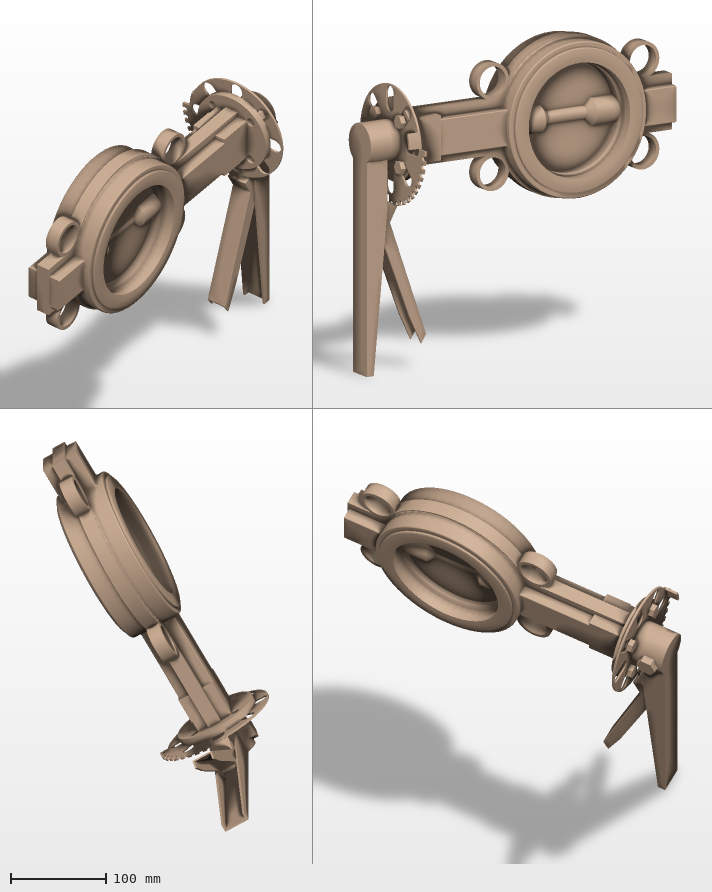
import cadquery as cq
import math


body_diameter = 169.5
body_width = 56.0
body_edge_fillet = 1.5
rib_diameter = 176.0
rib_width = 15.0
root_fillet = 2.0
liner_bore_diameter = 140.0

neck_top = 204.5
foot_end = -128.08
slab_height = 61.0
web_height = 72.0
web_start = 75.0
web_end_y = 86.0
block_width = 40.0
block_height = 39.5
block_edge_fillet = 1.0
block_end = -126.0
pad_height = 49.0
pad_end = 165.0
pad_overhang = 1.0

ear_circle_diameter = 210.0
ear_angle = 28.0
ear_diameter = 40.0
ear_hole_diameter = 32.0

flange_diameter = 90.0
flange_thickness = 8.0
flange_bolt_circle = 70.0
flange_hole_diameter = 10.0
flange_hole_depth = 20.0
bolt_head_flats = 13.0
bolt_head_height = 5.7

seat_bore_diameter = 125.0
seat_waist_diameter = 120.0
seat_waist_width = 25.0
seat_waist_taper = 3.2
seat_lip_diameter = 157.22
seat_lip_edge = 30.2
seat_bead_outer_diameter = 154.8
seat_bead_edge = 30.8
seat_bead_crest = 31.6

disc_thickness = 6.0
boss_diameter = 30.0
boss_inner_end = 31.5
rod_diameter = 15.0

plate_thickness = 2.5
plate_diameter = 120.0
sector_reach = 70.4
sector_margin = 1.5
slot_width = 15.0
slot_center_radius = 51.0
slot_count = 8
slot_inner_radius = 38.0
notch_diameter = 6.0
notch_mouth = 5.0
notch_center_radius = 68.0
notch_count = 11
first_notch_angle = 5.5
notch_pitch = 8.25
stop_diameter = 125.0
stop_start_angle = 3.0
stop_end_angle = 19.0
stop_height = 14.0
stop_bend_radius = 2.4
stop_overlap = 0.01

handle_top = 252.0
handle_bottom = -249.5
hub_diameter = 45.0
hub_bottom = 217.5
hub_neck_diameter = 44.0
handle_width = 28.0
handle_wall = 2.5
handle_depth = 25.7
handle_tip_depth = 8.6
handle_taper_start = -70.0

clamp_bolt_y = 236.3
clamp_head_flats = 19.2
clamp_head_start = 20.0
clamp_head_end = 28.8
clamp_shank_diameter = 12.0
clamp_shank_length = 12.0

pin_y = 239.0
pin_z = -88.9
pin_diameter = 5.0
trigger_lobe_radius = 8.0
trigger_wall = 2.0
trigger_edge_radius = 1.2

plate_bottom = neck_top + flange_thickness
plate_top = plate_bottom + plate_thickness
bolt_offset = flange_bolt_circle / 2 * math.sin(math.radians(45))
bolt_places = [(sx * bolt_offset, sz * bolt_offset) for sx in (-1, 1) for sz in (-1, 1)]
hexagon_corner_ratio = 1 / math.cos(math.radians(30))
trigger_width = handle_width - 2 * handle_wall


def along_y(y):
    """Workplane at height y whose normal is +Y; local x is X and local y is -Z."""
    return cq.Workplane("XZ", origin=(0, y, 0)).transformed(rotate=(180, 0, 0))


def along_x(x):
    """Workplane at x whose normal is +X; local x is Y and local y is Z."""
    return cq.Workplane("YZ", origin=(x, 0, 0))


def disk_on_x(diameter, width):
    return along_x(-width / 2).circle(diameter / 2).extrude(width)


def box(x0, x1, y0, y1, z0, z1):
    size = (x1 - x0, y1 - y0, z1 - z0)
    return cq.Workplane("XY").box(*size, centered=False).translate((x0, y0, z0))


def polar(radius, degrees):
    """Point at an angle that starts at -X and turns towards -Z, in along_y() coordinates."""
    angle = math.radians(degrees)
    return (-radius * math.cos(angle), radius * math.sin(angle))


def ear_places():
    y = ear_circle_diameter / 2 * math.cos(math.radians(ear_angle))
    z = ear_circle_diameter / 2 * math.sin(math.radians(ear_angle))
    return [(sy * y, sz * z) for sy in (-1, 1) for sz in (-1, 1)]


def is_root_edge(edge):
    """True for edges where the rib and the neck block rise from the body's cylinder."""
    p = edge.positionAt(0.5)
    on_cylinder = abs(math.hypot(p.y, p.z) - body_diameter / 2) < 0.05
    return on_cylinder and abs(p.x) < block_width / 2 + 1


def make_body():
    shell = disk_on_x(body_diameter, body_width)
    shell = shell.faces("<X or >X").edges().fillet(body_edge_fillet)
    rib = disk_on_x(rib_diameter, rib_width)
    slab = box(-rib_width / 2, rib_width / 2, foot_end, neck_top, -slab_height / 2, slab_height / 2)
    block = box(
        -block_width / 2, block_width / 2, block_end, neck_top, -block_height / 2, block_height / 2
    )
    block = block.edges("|Y").fillet(block_edge_fillet)
    ears = along_x(-rib_width / 2).pushPoints(ear_places()).circle(ear_diameter / 2).extrude(rib_width)
    web = box(-rib_width / 2, rib_width / 2, web_start, web_end_y, -web_height / 2, web_height / 2)
    slab = slab.union(web).union(web.mirror("XZ"))
    body = shell.union(rib).union(slab).union(block).union(ears)

    root_edges = [edge for edge in body.edges().vals() if is_root_edge(edge)]
    body = body.newObject(root_edges).fillet(root_fillet)

    pad = box(
        -block_width / 2 - pad_overhang, block_width / 2, pad_end, neck_top, -pad_height / 2, pad_height / 2
    )
    flange = along_y(neck_top).circle(flange_diameter / 2).extrude(flange_thickness)
    bolt_holes = along_y(plate_bottom - flange_hole_depth).pushPoints(bolt_places)
    bolt_holes = bolt_holes.circle(flange_hole_diameter / 2).extrude(flange_hole_depth)
    ear_holes = along_x(-rib_width / 2).pushPoints(ear_places())
    ear_holes = ear_holes.circle(ear_hole_diameter / 2).extrude(rib_width)
    bore = disk_on_x(liner_bore_diameter, body_width)
    return body.union(pad).union(flange).cut(bolt_holes).cut(ear_holes).cut(bore)


def make_seat():
    bead_middle = (seat_bore_diameter + seat_bead_outer_diameter) / 4
    half = (
        cq.Workplane("XY")
        .moveTo(0, seat_waist_diameter / 2)
        .lineTo(-seat_waist_width / 2, seat_waist_diameter / 2)
        .lineTo(-seat_waist_width / 2 - seat_waist_taper, seat_bore_diameter / 2)
        .lineTo(-seat_bead_edge, seat_bore_diameter / 2)
        .threePointArc((-seat_bead_crest, bead_middle), (-seat_bead_edge, seat_bead_outer_diameter / 2))
        .lineTo(-seat_lip_edge, seat_lip_diameter / 2)
        .lineTo(-body_width / 2, seat_lip_diameter / 2)
        .lineTo(-body_width / 2, liner_bore_diameter / 2)
        .lineTo(0, liner_bore_diameter / 2)
        .close()
        .revolve(360, (0, 0, 0), (1, 0, 0))
    )
    return half.union(half.mirror("YZ"))


def make_disc():
    boss_radius = boss_diameter / 2
    rod_radius = rod_diameter / 2
    cone_length = boss_radius - rod_radius
    reach = seat_waist_diameter / 2
    half_shaft = (
        cq.Workplane("XY")
        .polyline(
            [
                (0, 0),
                (rod_radius, 0),
                (rod_radius, boss_inner_end - cone_length),
                (boss_radius, boss_inner_end),
                (boss_radius, reach),
                (0, reach),
            ]
        )
        .close()
        .revolve(360, (0, 0, 0), (0, 1, 0))
    )
    shaft = half_shaft.union(half_shaft.mirror("XZ"))
    shaft = shaft.intersect(disk_on_x(seat_waist_diameter, boss_diameter))
    flat = disk_on_x(seat_waist_diameter, disc_thickness).translate((disc_thickness / 2, 0, 0))
    return shaft.union(flat)


def make_plate():
    plate = along_y(plate_bottom).circle(plate_diameter / 2).extrude(plate_thickness)
    sector_radius = math.hypot(sector_reach, sector_margin)
    sector = along_y(plate_bottom).circle(sector_radius).extrude(plate_thickness)
    quadrant = box(
        -sector_radius, sector_margin, plate_bottom, plate_top, -sector_radius, sector_margin
    )
    plate = plate.union(sector.intersect(quadrant))

    slot_length = slot_center_radius - slot_inner_radius + slot_width
    slot_middle = (slot_center_radius + slot_inner_radius) / 2
    slots = (
        along_y(plate_bottom)
        .polarArray(slot_middle, 0, 360, slot_count)
        .slot2D(slot_length, slot_width)
        .extrude(plate_thickness)
    )
    plate = plate.cut(slots)

    for index in range(notch_count):
        angle = first_notch_angle + index * notch_pitch
        notch = (
            along_y(plate_bottom)
            .pushPoints([polar(notch_center_radius, angle)])
            .circle(notch_diameter / 2)
            .extrude(plate_thickness)
        )
        mouth = (
            along_y(plate_bottom)
            .center(*polar(notch_center_radius + notch_diameter / 2, angle))
            .transformed(rotate=(0, 0, -angle))
            .rect(notch_diameter, notch_mouth)
            .extrude(plate_thickness)
        )
        plate = plate.cut(notch).cut(mouth)

    bolt_heads = (
        along_y(plate_top)
        .pushPoints(bolt_places)
        .polygon(6, bolt_head_flats * hexagon_corner_ratio)
        .extrude(bolt_head_height)
    )
    return plate.union(make_stop()).union(bolt_heads)


def make_stop():
    """Curved tab that is bent up from the rim of the notch plate."""
    middle_angle = (stop_start_angle + stop_end_angle) / 2
    inner = plate_diameter / 2 - stop_overlap
    outer = stop_diameter / 2
    stop = (
        along_y(plate_bottom)
        .moveTo(*polar(inner, -stop_start_angle))
        .threePointArc(polar(inner, -middle_angle), polar(inner, -stop_end_angle))
        .lineTo(*polar(outer, -stop_end_angle))
        .threePointArc(polar(outer, -middle_angle), polar(outer, -stop_start_angle))
        .close()
        .extrude(plate_thickness + stop_height)
    )
    bend_x, bend_down = polar(outer, -middle_angle)
    bend_edge = cq.selectors.NearestToPointSelector((bend_x, plate_bottom, -bend_down))
    return stop.edges(bend_edge).fillet(stop_bend_radius)


def make_clamp_bolt():
    head = (
        along_x(clamp_head_start)
        .center(clamp_bolt_y, 0)
        .polygon(6, clamp_head_flats * hexagon_corner_ratio)
        .extrude(clamp_head_end - clamp_head_start)
    )
    shank = (
        along_x(clamp_head_start - clamp_shank_length)
        .center(clamp_bolt_y, 0)
        .circle(clamp_shank_diameter / 2)
        .extrude(clamp_shank_length)
    )
    return head.union(shank)


def make_handle(clamp_bolt, pin):
    edge = handle_top - handle_depth
    tip = handle_top - handle_tip_depth
    sides = (
        along_x(-handle_width / 2)
        .polyline(
            [
                (handle_top, 0),
                (edge, 0),
                (edge, handle_taper_start),
                (tip, handle_bottom),
                (handle_top, handle_bottom),
            ]
        )
        .close()
        .extrude(handle_width)
    )
    channel = box(
        -trigger_width / 2, trigger_width / 2, 0, handle_top - handle_wall, handle_bottom, 0
    )
    hub = along_y(hub_bottom).circle(hub_diameter / 2).extrude(handle_top - hub_bottom)
    neck = along_y(plate_top).circle(hub_neck_diameter / 2).extrude(hub_bottom - plate_top)
    return sides.cut(channel).union(hub).union(neck).cut(clamp_bolt).cut(pin)


def make_pin():
    return (
        along_x(-handle_width / 2)
        .center(pin_y, pin_z)
        .circle(pin_diameter / 2)
        .extrude(handle_width)
    )


def make_trigger(plate, pin):
    """Bent channel whose tip engages the notch plate; its points are (Y, Z)."""
    tip = (212.5, -69.0)
    bend = (221.6, -86.0)
    web_end = (177.1, -212.1)
    flange_end = (183.2, -222.0)
    flange_bend = (197.5, -192.0)
    flange_root = (229.7, -107.5)
    peak = (221.6, -64.5)
    shoulder = (216.0, -69.0)
    diagonal = trigger_lobe_radius * math.sin(math.radians(45))
    solid = (
        along_x(-trigger_width / 2)
        .moveTo(*tip)
        .lineTo(*bend)
        .lineTo(*web_end)
        .lineTo(*flange_end)
        .lineTo(*flange_bend)
        .lineTo(*flange_root)
        .lineTo(pin_y + diagonal, pin_z - diagonal)
        .threePointArc((pin_y + trigger_lobe_radius, pin_z), (pin_y + diagonal, pin_z + diagonal))
        .lineTo(*peak)
        .lineTo(*shoulder)
        .close()
        .extrude(trigger_width)
    )
    web_edges = cq.selectors.BoxSelector((-20, 195, -160), (20, 204, -140))
    solid = solid.edges(web_edges).fillet(trigger_edge_radius)
    inside = trigger_width / 2 - trigger_wall
    cavity = (
        along_x(-inside)
        .polyline(
            [
                (218.3, -74.0),
                (bend[0] + 2.2, bend[1]),
                (178.3, -214.0),
                (175.0, -230.0),
                (260.0, -230.0),
                (260.0, -67.5),
                (221.6, -67.5),
            ]
        )
        .close()
        .extrude(2 * inside)
    )
    return solid.cut(cavity).cut(plate).cut(pin)


body = make_body()
seat = make_seat()
disc = make_disc()
plate = make_plate()
clamp_bolt = make_clamp_bolt()
pin = make_pin()
handle = make_handle(clamp_bolt, pin)
trigger = make_trigger(plate, pin)

result = cq.Compound.makeCompound(
    [part.val() for part in (body, seat, disc, plate, clamp_bolt, pin, handle, trigger)]
)